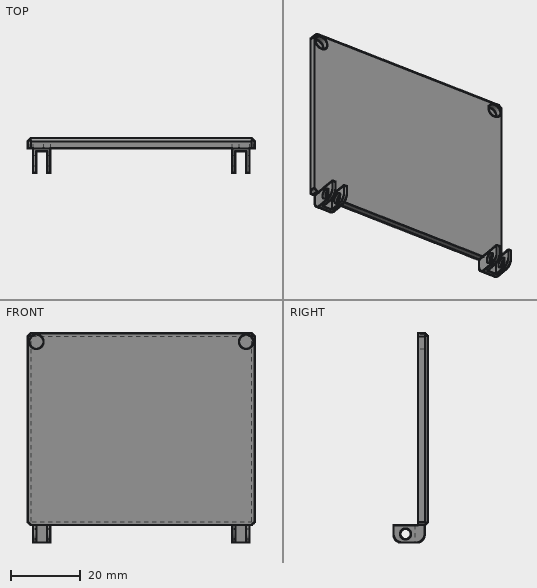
import cadquery as cq

plate_width = 65.0
plate_height = 55.0
plate_thickness = 3.0
corner_cut = 1.0
back_chamfer = 1.0

pocket_diameter = 4.1
pocket_depth = 2.0
pocket_inset = 2.5

fork_width = 5.0
fork_height = 5.0
fork_inset = 1.5
fork_reach = 7.0
cheek_thickness = 1.0
web_front = 0.85
fork_radius = fork_height / 2
pin_hole_diameter = 3.0
pin_hole_from_tip = 3.5

fork_back_y = plate_thickness - back_chamfer
fork_length = fork_reach + fork_back_y
fork_center_x = plate_width / 2 - fork_inset - fork_width / 2
pocket_center_x = plate_width / 2 - pocket_inset


def make_plate():
    """Slab with its back edges chamfered, then its four corners cut straight through."""
    slab = cq.Workplane("XY").box(
        plate_width, plate_thickness, plate_height, centered=(True, False, False)
    )
    slab = slab.faces(">Y").chamfer(back_chamfer)
    corner_outline = (
        cq.Workplane("XZ")
        .rect(plate_width, plate_height)
        .extrude(-plate_thickness)
        .edges("|Y")
        .chamfer(corner_cut)
        .translate((0, 0, plate_height / 2))
    )
    return slab.intersect(corner_outline)


def make_pocket(center_x):
    """Cylinder that sinks a blind pocket into the front face."""
    return (
        cq.Workplane("XZ", origin=(center_x, 0, plate_height - pocket_inset))
        .circle(pocket_diameter / 2)
        .extrude(-pocket_depth)
    )


def make_fork(center_x):
    """Fork with rounded lower corners, open to the front, with a cross pin hole."""
    block = (
        cq.Workplane("XY", origin=(center_x, -fork_reach, -fork_height))
        .box(fork_width, fork_length, fork_height, centered=(True, False, False))
        .edges("|X and <Z")
        .fillet(fork_radius)
    )
    gap = cq.Workplane("XY", origin=(center_x, -fork_reach, -fork_height)).box(
        fork_width - 2 * cheek_thickness,
        fork_reach - web_front,
        fork_height,
        centered=(True, False, False),
    )
    pin_hole = (
        cq.Workplane("YZ", origin=(center_x, pin_hole_from_tip - fork_reach, -fork_height / 2))
        .circle(pin_hole_diameter / 2)
        .extrude(fork_width / 2, both=True)
    )
    return block.cut(gap).cut(pin_hole)


result = make_plate()
for side in (-1, 1):
    result = result.cut(make_pocket(side * pocket_center_x))
    result = result.union(make_fork(side * fork_center_x))